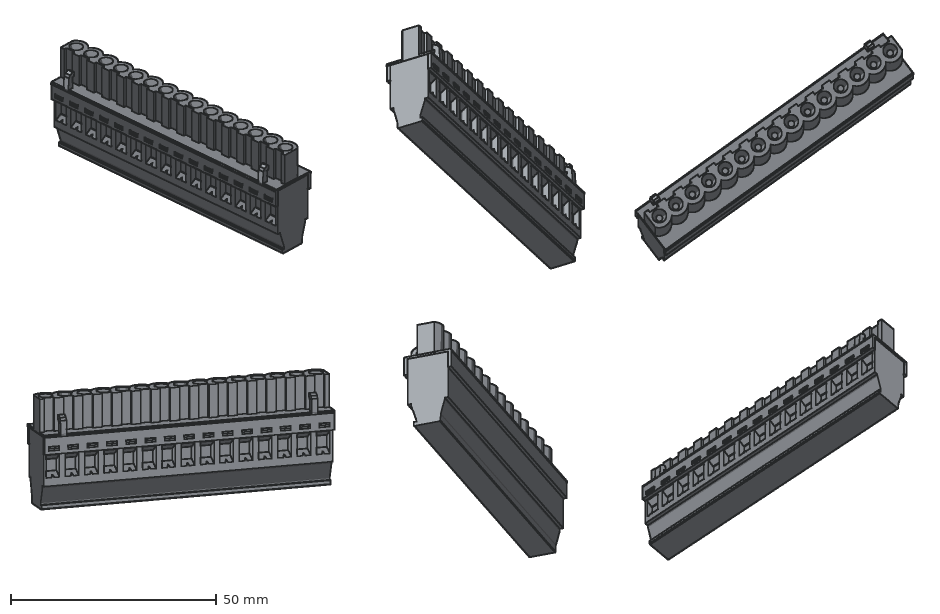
import cadquery as cq
pole_count = 15
total_length = 75
end_lip = 0.15
row_length = total_length - end_lip
pitch = row_length / pole_count
row_left = -total_length / 2
row_right = row_left + row_length
skirt_recess = 0.1
body_recess = 0.15
pole_centers = [row_left + (i + 0.5) * pitch for i in range(pole_count)]

foot_lip_top_z = 1.1
back_knee_z = 1.95
ledge_z = 6.2
skirt_bottom_z = 14.4
cap_bottom_z = 18.7
cap_top_z = 19.3
total_height = 27.6

cap_half_width = 6.3
skirt_half_width = 6.2
body_half_width = 5.3
ledge_half_width = 4.4
foot_back_y = 3.4
foot_front_y = -3.1
foot_lip_y = -3.75
cap_edge_chamfer = 0.3
foot_chamfer = 0.2
foot_step_height = 0.45

socket_back_y = 2.9
socket_shoulder_y = 1.65
socket_front_y = -2.85
notch_width = 2.6
notch_depth = 0.75
contact_mouth_diameter = 3.45
contact_end_diameter = 1.6
contact_depth = 2.25

latch_width = 1.6
latch_back_y = -4.7
latch_tip_y = -4.1
latch_front_y = -6.1
latch_slope_y = -5.6
latch_crown_y = -4.7
latch_round_y = -4.35
latch_shoulder_z = 22.6
latch_slope_z = 23.25
latch_top_z = 23.8
latch_round_z = 23.7
latch_nose_top_z = 23.4
latch_nose_bottom_z = 22.65
latch_neck_z = 22.2
latch_pole_offset = 1

entry_width = 3.45
entry_bottom_z = 8.3
entry_top_z = 14.0
entry_funnel_depth = 1.35
entry_end_depth = 0.2
entry_end_width = 2.85
entry_end_bottom_z = 9.7
entry_end_top_z = 12.7
entry_rib_width = 0.75
entry_rib_height = 0.6

window_width = 2.6
window_bottom_z = 15.3
window_top_z = 16.3
window_sill_depth = 0.1
window_full_depth = 0.5


def extrude_along_x(points, x_start, x_end):
    """Extrude a closed (y, z) outline from x_start to x_end."""
    outline = cq.Workplane("YZ", origin=(x_start, 0, 0)).polyline(points).close()
    return outline.extrude(x_end - x_start)


def box_between(x_range, y_range, z_range):
    """Box spanning the given (low, high) ranges."""
    size = [high - low for low, high in (x_range, y_range, z_range)]
    return cq.Workplane().box(*size, centered=False).translate((x_range[0], y_range[0], z_range[0]))


def main_body():
    """Terminal body with a tapered foot and a small lip along its front."""
    points = [
        (body_half_width, cap_bottom_z),
        (body_half_width, ledge_z),
        (ledge_half_width, ledge_z),
        (ledge_half_width, ledge_z - foot_step_height),
        (foot_back_y, back_knee_z),
        (foot_back_y - foot_chamfer / 2, foot_chamfer),
        (foot_back_y - foot_chamfer, 0),
        (foot_lip_y + foot_chamfer, 0),
        (foot_lip_y, foot_chamfer),
        (foot_lip_y, foot_lip_top_z),
        (foot_front_y, foot_lip_top_z),
        (foot_front_y, foot_lip_top_z + foot_step_height),
        (-ledge_half_width, ledge_z - foot_step_height),
        (-ledge_half_width, ledge_z),
        (-body_half_width, ledge_z),
        (-body_half_width, cap_bottom_z),
    ]
    return extrude_along_x(points, row_left + body_recess, row_right)


def cap_and_skirts():
    """Flat cap over the body with a skirt hanging down on each long side."""
    cap_x = (row_left, row_left + total_length)
    cap = box_between(cap_x, (-cap_half_width, cap_half_width), (cap_bottom_z, cap_top_z))
    cap = cap.faces(">Z").edges("|X").chamfer(cap_edge_chamfer)
    skirt_x = (cap_x[0] + skirt_recess, cap_x[1])
    skirt_z = (skirt_bottom_z, cap_bottom_z)
    front_skirt = box_between(skirt_x, (-skirt_half_width, -body_half_width), skirt_z)
    back_skirt = box_between(skirt_x, (body_half_width, skirt_half_width), skirt_z)
    return cap.union(front_skirt).union(back_skirt)


def socket_tower(x_center):
    """Plug socket with a round back and a notch in its flat front."""
    half_pitch = pitch / 2
    return (
        cq.Workplane("XY", origin=(x_center, 0, cap_bottom_z))
        .moveTo(-half_pitch, socket_front_y)
        .lineTo(-notch_width / 2, socket_front_y)
        .lineTo(-notch_width / 2, socket_front_y + notch_depth)
        .lineTo(notch_width / 2, socket_front_y + notch_depth)
        .lineTo(notch_width / 2, socket_front_y)
        .lineTo(half_pitch, socket_front_y)
        .lineTo(half_pitch, socket_shoulder_y)
        .threePointArc((0, socket_back_y), (-half_pitch, socket_shoulder_y))
        .close()
        .extrude(total_height - cap_bottom_z)
    )


def contact_hole(x_center):
    """Conical contact hole, open at the top of a socket."""
    return cq.Workplane(
        cq.Solid.makeCone(
            contact_mouth_diameter / 2,
            contact_end_diameter / 2,
            contact_depth,
            cq.Vector(x_center, 0, total_height),
            cq.Vector(0, 0, -1),
        )
    )


def latch(x_center):
    """Upright hook along the front edge of the cap, its tip facing the sockets."""
    return (
        cq.Workplane("YZ", origin=(x_center - latch_width / 2, 0, 0))
        .moveTo(-cap_half_width, cap_bottom_z)
        .lineTo(-cap_half_width, cap_top_z)
        .lineTo(latch_front_y, latch_shoulder_z)
        .lineTo(latch_slope_y, latch_slope_z)
        .lineTo(latch_crown_y, latch_top_z)
        .threePointArc((latch_round_y, latch_round_z), (latch_tip_y, latch_nose_top_z))
        .lineTo(latch_tip_y, latch_nose_bottom_z)
        .lineTo(latch_back_y, latch_neck_z)
        .lineTo(latch_back_y, cap_bottom_z)
        .close()
        .extrude(latch_width)
    )


def wire_entry(x_center):
    """Rectangular funnel and a short straight end, with a small rib left on the funnel floor."""
    mouth_height = entry_top_z - entry_bottom_z
    end_height = entry_end_top_z - entry_end_bottom_z
    end_z = (entry_end_bottom_z + entry_end_top_z) / 2
    mouth_z = (entry_bottom_z + entry_top_z) / 2
    funnel = (
        cq.Workplane("XZ", origin=(x_center, -body_half_width, mouth_z))
        .rect(entry_width, mouth_height)
        .workplane(offset=-entry_funnel_depth)
        .center(0, end_z - mouth_z)
        .rect(entry_end_width, end_height)
        .loft(ruled=True)
    )
    straight_end = (
        cq.Workplane("XZ", origin=(x_center, -body_half_width + entry_funnel_depth, end_z))
        .rect(entry_end_width, end_height)
        .extrude(-entry_end_depth)
    )
    rib = (
        cq.Workplane("XZ", origin=(x_center, -body_half_width, entry_bottom_z))
        .moveTo(-entry_rib_width / 2, 0)
        .lineTo(0, entry_rib_height)
        .lineTo(entry_rib_width / 2, 0)
        .close()
        .extrude(-entry_funnel_depth)
    )
    return funnel.union(straight_end).cut(rib)


def marker_window(x_center):
    """Shallow window whose back wall slopes inward over its upper half."""
    window_middle_z = (window_bottom_z + window_top_z) / 2
    sill_y = -skirt_half_width + window_sill_depth
    points = [
        (-skirt_half_width, window_bottom_z),
        (sill_y, window_bottom_z),
        (sill_y, window_middle_z),
        (-skirt_half_width + window_full_depth, window_top_z),
        (-skirt_half_width, window_top_z),
    ]
    return extrude_along_x(points, x_center - window_width / 2, x_center + window_width / 2)


result = main_body().union(cap_and_skirts())

for pole_x in pole_centers:
    result = result.union(socket_tower(pole_x))

for latch_x in (row_left + latch_pole_offset * pitch, row_right - latch_pole_offset * pitch):
    result = result.union(latch(latch_x))

for pole_x in pole_centers:
    result = result.cut(contact_hole(pole_x))
    result = result.cut(wire_entry(pole_x))
    result = result.cut(marker_window(pole_x))